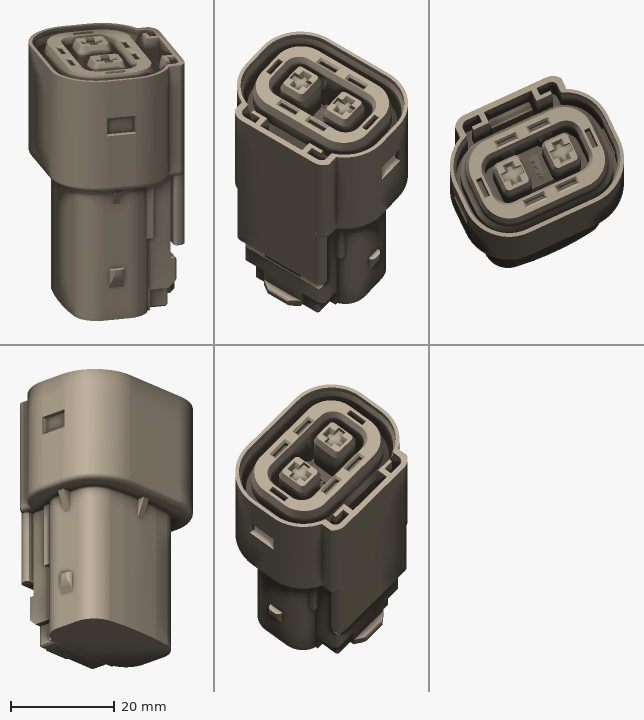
import cadquery as cq

overall_height = 51.25
rim_z = 50.75
shroud_bottom_z = 27.85
shroud_half_x = 16.45
shroud_half_y = 11.85
flat_half_y = 2.6
shroud_edge_radius = 1.0

lip_wall = 0.7
shroud_wall = 1.25
lip_depth = 1.15
lip_taper = 1.15
cavity_floor_z = 38.95

body_half_x = 12.25
body_half_y = 7.95
body_corner_radius = 4.85
body_facet_x = (4.65, 8.2)
body_facet_y = (7.8, 7.4)
neck_radius = 0.35

core_flange_half = (14.4, 9.8)
core_waist_half = (13.3, 8.8)
core_top_half = (12.75, 8.25)
core_waist_z = rim_z - 1.9
core_flange_taper_z = 46.1
core_flange_z = 45.1

socket_half = (9.85, 4.8)
socket_corner_radius = 2.55
socket_bevel = 0.65
socket_bevel_depth = 1.3
socket_floor_z = 41

tower_x = 5.25
tower_size = (6.05, 6.85)
tower_chamfer = 0.6
tower_chamfer_depth = 1.55
tower_corner_radius = 1.35
web_top_z = 42.55

guard_y = 14.55
guard_half_x = 11.4
guard_flat_half_x = 8.7
guard_shoulder_y = 13.1
guard_pocket_half_x = 10.1
guard_wall_y = 13.45
window_half_x = 5.05
window_y = 10.5
arm_half_x = 4.4
arm_y = (11.8, 13.05)
arm_bottom_z = 10.4

overlap = 0.5


def box(x, y, z):
    """Box from (low, high) ranges along each axis."""
    return (
        cq.Workplane("XY", origin=(0, 0, z[0]))
        .center((x[0] + x[1]) / 2, (y[0] + y[1]) / 2)
        .rect(x[1] - x[0], y[1] - y[0])
        .extrude(z[1] - z[0])
    )


def both_sides(shape):
    """The shape together with its copy across the YZ plane."""
    return shape.union(shape.mirror("YZ"))


def front_and_back(shape):
    """The shape together with its copy across the XZ plane."""
    return shape.union(shape.mirror("XZ"))


def rounded_outline(half_x, half_y, radius, z):
    """Workplane at height z holding a rectangle with rounded corners."""
    flat_sketch = cq.Sketch().rect(2 * half_x, 2 * half_y).vertices().fillet(radius)
    return cq.Workplane("XY", origin=(0, 0, z)).placeSketch(flat_sketch)


def prism(half, radius, z_low, z_high):
    """Rounded rectangular solid with upright sides."""
    return rounded_outline(half[0], half[1], radius, z_low).extrude(z_high - z_low)


def frustum(half_low, radius_low, z_low, half_high, radius_high, z_high):
    """Rounded rectangular solid tapering between two heights."""
    low = cq.Sketch().rect(2 * half_low[0], 2 * half_low[1]).vertices().fillet(radius_low)
    high = cq.Sketch().rect(2 * half_high[0], 2 * half_high[1]).vertices().fillet(radius_high)
    return (
        cq.Workplane("XY", origin=(0, 0, z_low))
        .placeSketch(low, high.moved(cq.Location(cq.Vector(0, 0, z_high - z_low))))
        .loft()
    )


def funnel(size_top, size_low, z_top, depth):
    """Tapered rectangular recess opening at z_top."""
    return (
        cq.Workplane("XY", origin=(0, 0, z_top))
        .rect(*size_top)
        .workplane(offset=-depth)
        .rect(*size_low)
        .loft()
    )


def yz_profile(points, half_x):
    """Profile of (Y, Z) points extruded to both sides of X = 0."""
    return cq.Workplane("YZ").polyline(points).close().extrude(half_x, both=True)


def inset(half, distance):
    """Half sizes reduced by a distance; a negative distance enlarges them."""
    return (half[0] - distance, half[1] - distance)


def make_shroud():
    """Hollow sleeve with a rounded lower edge, a tapered bore and a pocket under the guard."""
    half = (shroud_half_x, shroud_half_y)
    radius = shroud_half_y - flat_half_y
    sleeve = prism(half, radius, shroud_bottom_z, rim_z)
    guard = (
        cq.Workplane("XY", origin=(0, 0, shroud_bottom_z))
        .moveTo(0, 0)
        .lineTo(0, guard_y)
        .lineTo(guard_flat_half_x, guard_y)
        .tangentArcPoint((guard_half_x, guard_shoulder_y), relative=False)
        .lineTo(guard_half_x, 0)
        .close()
        .extrude(rim_z - shroud_bottom_z)
    )
    shroud = sleeve.union(both_sides(guard)).clean().faces("<Z").edges().fillet(shroud_edge_radius)

    lip = inset(half, lip_wall)
    bore = inset(half, shroud_wall)
    lip_bottom_z = rim_z - lip_depth
    bore_top_z = lip_bottom_z - lip_taper
    shroud = shroud.cut(prism(bore, radius - shroud_wall, cavity_floor_z, bore_top_z))
    shroud = shroud.cut(
        frustum(bore, radius - shroud_wall, bore_top_z, lip, radius - lip_wall, lip_bottom_z)
    )
    shroud = shroud.cut(prism(lip, radius - lip_wall, lip_bottom_z, rim_z))

    pocket_half = guard_pocket_half_x
    pocket_corner_radius = 1.3
    pocket = box((-pocket_half, pocket_half), (0, guard_wall_y), (cavity_floor_z, rim_z))
    return shroud.cut(pocket.edges("|Z and >Y").fillet(pocket_corner_radius))


def make_hooks():
    """L-shaped rails hanging from the guard wall beside the latch opening."""
    stem_x = (window_half_x, 6.2)
    foot_x = (window_half_x, 8.4)
    foot_y = (10.55, 11.85)
    z = (cavity_floor_z - overlap, rim_z)
    stem = box(stem_x, (foot_y[0], guard_wall_y + overlap), z)
    foot = box(foot_x, foot_y, z)
    lead_in_cut = (
        cq.Workplane("YZ")
        .polyline([
            (foot_y[0], rim_z),
            (foot_y[0] + 0.55, rim_z),
            (foot_y[0] + 0.4, rim_z - 0.5),
            (foot_y[0] + 0.2, rim_z - 1.35),
            (foot_y[0], rim_z - 2.45),
        ])
        .close()
        .extrude(foot_x[1])
    )
    return both_sides(stem.union(foot).cut(lead_in_cut))


def make_side_windows():
    """Rectangular openings through both ends of the shroud."""
    reach = (core_flange_half[0], shroud_half_x + overlap)
    side_window_y = (-3.1, 2.8)
    side_window_z = (39.45, 43.15)
    return both_sides(box(reach, side_window_y, side_window_z))


def make_core():
    """Stepped core with a bevelled socket sunk into its face."""
    def corner(half):
        """Corner radius that leaves the shared straight end."""
        return half[1] - flat_half_y

    core = prism(core_flange_half, corner(core_flange_half), cavity_floor_z - overlap, core_flange_z)
    core = core.union(
        frustum(core_flange_half, corner(core_flange_half), core_flange_z,
                core_waist_half, corner(core_waist_half), core_flange_taper_z)
    )
    core = core.union(
        prism(core_waist_half, corner(core_waist_half), core_flange_taper_z, core_waist_z)
    )
    core = core.union(
        frustum(core_waist_half, corner(core_waist_half), core_waist_z,
                core_top_half, corner(core_top_half), rim_z)
    )
    radius = socket_corner_radius
    bevel_z = rim_z - socket_bevel_depth
    core = core.cut(prism(socket_half, radius, socket_floor_z, bevel_z))
    mouth_half = inset(socket_half, -socket_bevel)
    core = core.cut(frustum(socket_half, radius, bevel_z, mouth_half, radius + socket_bevel, rim_z))
    return core.cut(make_core_slots()).union(make_socket_keys())


def make_core_slots():
    """Four bevelled slots along the sides and one plain slot at each end of the core face."""
    mouth_size = (4.65, 1.7)
    pit_size = (3.9, 0.8)
    slot_centre = (3.45, 6.45, 0)
    bevel_depth = 0.4
    pit_depth = 1.55
    pit = cq.Workplane("XY", origin=(0, 0, rim_z - pit_depth)).rect(*pit_size).extrude(pit_depth)
    side_slot = funnel(mouth_size, pit_size, rim_z, bevel_depth).union(pit).translate(slot_centre)
    end_slot_x = (11.0, 12.15)
    end_slot_half_y = 2.0
    end_slot_depth = 3.1
    end_slot = box(end_slot_x, (-end_slot_half_y, end_slot_half_y), (rim_z - end_slot_depth, rim_z))
    return both_sides(front_and_back(side_slot).union(end_slot))


def make_socket_keys():
    """Ramped keys with slanted flanks on the long walls of the socket."""
    wall_y = socket_half[1]
    key_height = 0.6
    inner_y = wall_y - key_height
    outer_y = wall_y + overlap
    bottom_z = socket_floor_z - overlap
    root_x = (2.4, 5.5)
    crest_x = (2.8, 5.05)
    ramp_top_z = 48.3
    ramp_bottom_z = 45.9
    plan = (
        cq.Workplane("XY", origin=(0, 0, bottom_z))
        .polyline([
            (root_x[0], outer_y), (root_x[0], wall_y), (crest_x[0], inner_y),
            (crest_x[1], inner_y), (root_x[1], wall_y), (root_x[1], outer_y),
        ])
        .close()
        .extrude(ramp_top_z - bottom_z)
    )
    ramp = yz_profile(
        [
            (wall_y, ramp_top_z), (inner_y, ramp_bottom_z), (inner_y, bottom_z),
            (outer_y, bottom_z), (outer_y, ramp_top_z),
        ],
        socket_half[0],
    )
    return both_sides(front_and_back(plan.intersect(ramp)))


def make_tower():
    """Terminal tower with a bevelled head and a cross-shaped contact opening."""
    half = (tower_size[0] / 2, tower_size[1] / 2)
    head_z = overall_height - tower_chamfer_depth
    tower = prism(half, tower_corner_radius, socket_floor_z - overlap, head_z)
    tower = tower.union(
        frustum(half, tower_corner_radius, head_z,
                inset(half, tower_chamfer), tower_corner_radius - tower_chamfer, overall_height)
    )
    opening_depth = 1.0
    upright_top = (2.2, 4.45)
    upright_low = (0.95, 3.5)
    crossbar_half = (2.15, 0.85)
    upright = funnel(upright_top, upright_low, overall_height, opening_depth)
    crossbar = box(
        (-crossbar_half[0], crossbar_half[0]), (-crossbar_half[1], crossbar_half[1]),
        (overall_height - opening_depth, overall_height),
    )
    return tower.cut(upright).cut(crossbar).translate((tower_x, 0, 0))


def make_web():
    """Bevelled bridge between the towers with two pairs of small marks down its middle."""
    half_y = tower_size[1] / 2
    web = box((-tower_x, tower_x), (-half_y, half_y), (socket_floor_z - overlap, web_top_z))
    web = web.edges(">Z and |X").chamfer(tower_chamfer)
    mark_half_x = 0.3
    mark_depth = 0.5
    mark_ranges_y = [(1.45, 2.15), (0.4, 1.0), (-0.9, -0.45), (-2.15, -1.25)]
    for y in mark_ranges_y:
        web = web.cut(box((-mark_half_x, mark_half_x), y, (web_top_z - mark_depth, web_top_z)))
    return web


def make_body():
    """Wire-end body: straight ends, rounded corners and slightly crowned long sides."""
    arc_centre_x = body_half_x - body_corner_radius
    diagonal = body_corner_radius * 0.5 ** 0.5
    arc_mid_x = arc_centre_x + diagonal
    arc_mid_y = flat_half_y + diagonal
    inner_x, outer_x = body_facet_x
    inner_y, outer_y = body_facet_y
    half_body = (
        cq.Workplane("XY")
        .moveTo(-body_half_x, 0)
        .lineTo(-body_half_x, flat_half_y)
        .threePointArc((-arc_mid_x, arc_mid_y), (-outer_x, outer_y))
        .lineTo(-inner_x, inner_y)
        .threePointArc((0, body_half_y), (inner_x, inner_y))
        .lineTo(outer_x, outer_y)
        .threePointArc((arc_mid_x, arc_mid_y), (body_half_x, flat_half_y))
        .lineTo(body_half_x, 0)
        .close()
        .extrude(shroud_bottom_z + overlap)
    )
    body = front_and_back(half_body).clean()
    plate_half = inset((shroud_half_x, shroud_half_y), shroud_edge_radius)
    plate = prism(plate_half, plate_half[1] - flat_half_y, shroud_bottom_z, shroud_bottom_z + overlap)
    margin = 0.05
    joint = cq.selectors.BoxSelector(
        (-body_half_x - margin, -body_half_y - margin, shroud_bottom_z - margin),
        (body_half_x + margin, body_half_y + margin, shroud_bottom_z + margin),
    )
    return body.union(plate).edges(joint).fillet(neck_radius)


def make_gussets():
    """Triangular ribs under the shroud at both ends and on the -Y side."""
    tip_z = 23.85
    top_z = shroud_bottom_z + overlap
    half_width = 0.7
    end_reach = 14.25
    front_reach = 9.55
    end_rib = (
        cq.Workplane("XZ")
        .polyline([
            (body_half_x - overlap, tip_z), (body_half_x, tip_z), (end_reach, shroud_bottom_z),
            (end_reach, top_z), (body_half_x - overlap, top_z),
        ])
        .close()
        .extrude(half_width, both=True)
    )
    front_rib = yz_profile(
        [
            (-body_half_y + overlap, tip_z), (-body_half_y, tip_z), (-front_reach, shroud_bottom_z),
            (-front_reach, top_z), (-body_half_y + overlap, top_z),
        ],
        half_width,
    )
    return both_sides(end_rib).union(front_rib)


def make_locks():
    """Locking bumps near the wire end: flat on top, curving into the body below and sideways."""
    top_z = 10.55
    bottom_z = 6.6
    half_width = 1.5
    crest_half_width = 0.6
    crest_x = body_half_x + 1.1
    root_x = body_half_x - overlap
    side_shape = (
        cq.Workplane("XZ")
        .moveTo(root_x, bottom_z)
        .lineTo(body_half_x, bottom_z)
        .lineTo(body_half_x + 0.35, 7.4)
        .threePointArc((body_half_x + 0.85, 8.5), (crest_x, 9.7))
        .lineTo(crest_x, top_z)
        .lineTo(root_x, top_z)
        .close()
        .extrude(half_width, both=True)
    )
    flank_x = body_half_x + 0.25
    flank_mid = (body_half_x + 0.85, 1.1)
    plan_shape = (
        cq.Workplane("XY", origin=(0, 0, bottom_z))
        .moveTo(root_x, -half_width)
        .lineTo(flank_x, -half_width)
        .threePointArc((flank_mid[0], -flank_mid[1]), (crest_x, -crest_half_width))
        .lineTo(crest_x, crest_half_width)
        .threePointArc(flank_mid, (flank_x, half_width))
        .lineTo(root_x, half_width)
        .close()
        .extrude(top_z - bottom_z)
    )
    return both_sides(side_shape.intersect(plan_shape))


def make_latch_block():
    """Stepped block on the +Y side of the body that carries the latch."""
    block_half_x = 9.1
    root_y = 7.75
    rear_y, outer_y = arm_y
    foot_z = 4.3
    slope_y = 11.4
    slope_top_z = 5.9
    edge_chamfer = 0.35
    top_z = shroud_bottom_z + overlap
    block = yz_profile(
        [
            (root_y, foot_z), (slope_y, foot_z), (outer_y, slope_top_z),
            (outer_y, arm_bottom_z - edge_chamfer), (outer_y - edge_chamfer, arm_bottom_z),
            (rear_y, arm_bottom_z), (rear_y, top_z), (root_y, top_z),
        ],
        block_half_x,
    )
    block = block.faces(">Y").edges("|Z").chamfer(edge_chamfer)

    foot_half_x = 7.7
    foot_outer_y = 11.7
    foot = box((-foot_half_x, foot_half_x), (root_y, foot_outer_y), (0, foot_z + overlap))
    foot = foot.edges("|Z and >Y").chamfer(edge_chamfer)
    foot = foot.faces("<Z").chamfer(edge_chamfer)

    root_half_x = block_half_x - 0.2
    root_inner_y = 7.05
    root = box((-root_half_x, root_half_x), (root_inner_y, root_y), (0, top_z))

    rail_half_x = 10.35
    rail_y = (6.55, 7.95)
    rail_bottom_z = 15.3
    rail = box((-rail_half_x, rail_half_x), rail_y, (rail_bottom_z, top_z))
    return block.union(foot).union(root).union(rail)


def make_latch_arm():
    """Latch arm standing in the guard opening, with its release tab and peg at the wire end."""
    rear_y, outer_y = arm_y
    catch_y = 10.55
    top_z = 43.05
    edge_chamfer = 0.25
    arm = yz_profile(
        [
            (rear_y - overlap, arm_bottom_z), (outer_y, arm_bottom_z), (outer_y, top_z), (12.4, top_z),
            (11.7, top_z - 0.2), (11.3, top_z + 0.1), (catch_y, top_z - 2.05), (catch_y, shroud_bottom_z),
            (rear_y - overlap, shroud_bottom_z),
        ],
        arm_half_x,
    )
    arm = arm.edges("|Z and >Y").chamfer(edge_chamfer)
    tab_inner_y = 11.3
    tab_z = (1.5, 6.15)
    tab = box((-arm_half_x, arm_half_x), (tab_inner_y, outer_y), tab_z)
    tip_y = guard_y - 0.05
    tip_half_x = arm_half_x - 2.05
    peg_z = (1.6, 3.2)
    peg = (
        cq.Workplane("XY", origin=(0, 0, peg_z[0]))
        .polyline([
            (-arm_half_x, outer_y - overlap), (-arm_half_x, outer_y), (-tip_half_x, tip_y),
            (tip_half_x, tip_y), (arm_half_x, outer_y), (arm_half_x, outer_y - overlap),
        ])
        .close()
        .extrude(peg_z[1] - peg_z[0])
    )
    peg = peg.faces(">Y").edges("|X").chamfer(edge_chamfer)
    return arm.union(tab).union(peg)


def make_guard_skirt():
    """Part of the latch guard that reaches below the shroud, with a channel for the arm."""
    half_x = 10.45
    inner_y = 12.2
    outer_radius = 1.45
    inner_chamfer = 0.45
    bottom_z = 13.4
    channel_half_x = arm_half_x + 0.1
    z = (bottom_z, shroud_bottom_z + shroud_edge_radius + overlap)
    skirt = box((-half_x, half_x), (inner_y, guard_y), z).edges("|Z and >Y").fillet(outer_radius)
    skirt = skirt.edges("|Z and <Y").chamfer(inner_chamfer)
    return skirt.cut(box((-channel_half_x, channel_half_x), (inner_y, guard_wall_y), z))


def make_latch_opening():
    """Shaft through the shroud in which the latch arm moves."""
    return box(
        (-window_half_x, window_half_x), (window_y, guard_wall_y),
        (shroud_bottom_z - overlap, rim_z),
    )


result = (
    make_shroud()
    .union(make_guard_skirt())
    .union(make_hooks())
    .cut(make_side_windows())
    .cut(make_latch_opening())
    .union(make_core())
    .union(both_sides(make_tower()))
    .union(make_web())
    .union(make_body())
    .union(make_gussets())
    .union(make_locks())
    .union(make_latch_block())
    .union(make_latch_arm())
)